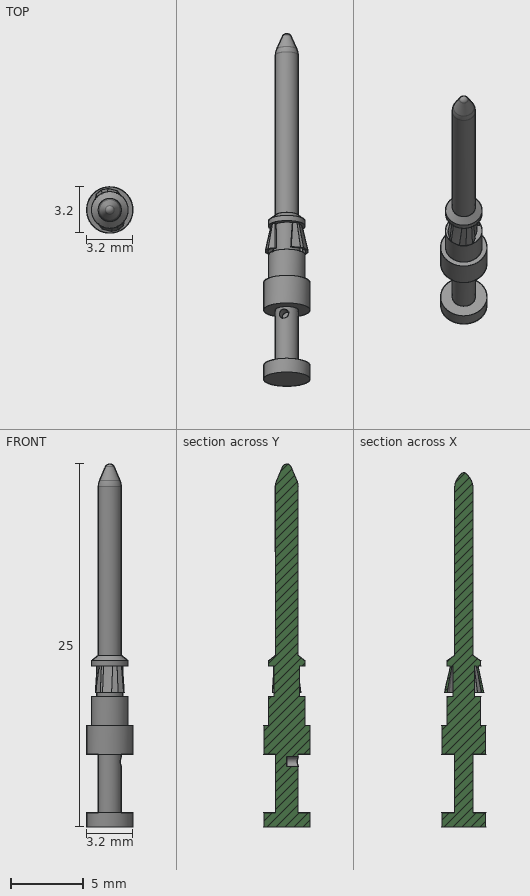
import cadquery as cq

length = 25.0
base_diameter = 3.2
shank_diameter = 1.6
core_diameter = 1.8
collar_diameter = 2.52
tip_diameter = 0.6

base_top = 1.0
flange_bottom = 5.0
flange_top = 7.0
shoulder_top = 9.0
collar_bottom = 11.08
collar_edge = 11.45
collar_top = 11.82
nose_height = 1.35
nose_fillet = 1.05
tip_height = 0.18

tab_bottom = 9.25
tab_inner_ratio = 0.88
tab_overlap = 0.05

hole_diameter = 0.65
hole_height = 4.5

root_corners = [(-0.72, -0.62), (-0.58, -0.88), (-0.42, -0.98), (0.2, -1.0), (0.5, -0.98), (0.8, -0.8), (0.88, -0.62)]
free_corners = [(-0.98, -0.58), (-0.65, -1.15), (-0.5, -1.32), (0.12, -1.48), (0.58, -1.38), (0.95, -1.08), (1.0, -0.58)]


def cylinder(diameter, bottom, top):
    return cq.Workplane("XY").workplane(offset=bottom).circle(diameter / 2).extrude(top - bottom)


def make_nose():
    """Tapered nose, blended into the shank and closed by a rounded tip."""
    tip_base = length - tip_height
    nose = cylinder(shank_diameter, collar_top, length - nose_height)
    cone = (
        cq.Workplane("XY")
        .workplane(offset=length - nose_height)
        .circle(shank_diameter / 2)
        .workplane(offset=nose_height - tip_height)
        .circle(tip_diameter / 2)
        .loft()
    )
    nose = nose.union(cone)
    blend_edge = cq.selectors.BoxSelector(
        (-shank_diameter, -shank_diameter, length - nose_height - tip_height),
        (shank_diameter, shank_diameter, length - nose_height + tip_height),
    )
    nose = nose.edges("%CIRCLE").edges(blend_edge).fillet(nose_fillet)
    tip_radius = tip_diameter / 2
    sphere_radius = (tip_radius**2 + tip_height**2) / (2 * tip_height)
    dome = cq.Workplane("XY").sphere(sphere_radius).translate((0, 0, length - sphere_radius))
    return nose.union(dome.intersect(cylinder(base_diameter, tip_base, length)))


def make_collar():
    chamfer_width = (collar_diameter - shank_diameter) / 2
    collar = cylinder(collar_diameter, collar_bottom, collar_top)
    return collar.faces(">Z").chamfer(collar_top - collar_edge, chamfer_width)


def tab_section(outer_corners):
    """Closed outline of a thin faceted strip."""
    inner_corners = [(x * tab_inner_ratio, y * tab_inner_ratio) for x, y in outer_corners]
    return outer_corners + inner_corners[::-1]


def make_tab():
    return (
        cq.Workplane("XY")
        .workplane(offset=tab_bottom)
        .polyline(tab_section(free_corners))
        .close()
        .workplane(offset=collar_bottom + tab_overlap - tab_bottom)
        .polyline(tab_section(root_corners))
        .close()
        .loft(ruled=True)
    )


pin = cylinder(base_diameter, 0, base_top)
pin = pin.union(cylinder(shank_diameter, base_top, flange_bottom))
pin = pin.union(cylinder(base_diameter, flange_bottom, flange_top))
pin = pin.union(cylinder(collar_diameter, flange_top, shoulder_top))
pin = pin.union(cylinder(core_diameter, shoulder_top, collar_bottom))
pin = pin.union(make_collar())
pin = pin.union(make_nose())

tab = make_tab()
pin = pin.union(tab).union(tab.rotate((0, 0, 0), (0, 0, 1), 180))

side_hole = (
    cq.Workplane("YZ")
    .center(0, hole_height)
    .circle(hole_diameter / 2)
    .extrude(shank_diameter)
)
result = pin.cut(side_hole)